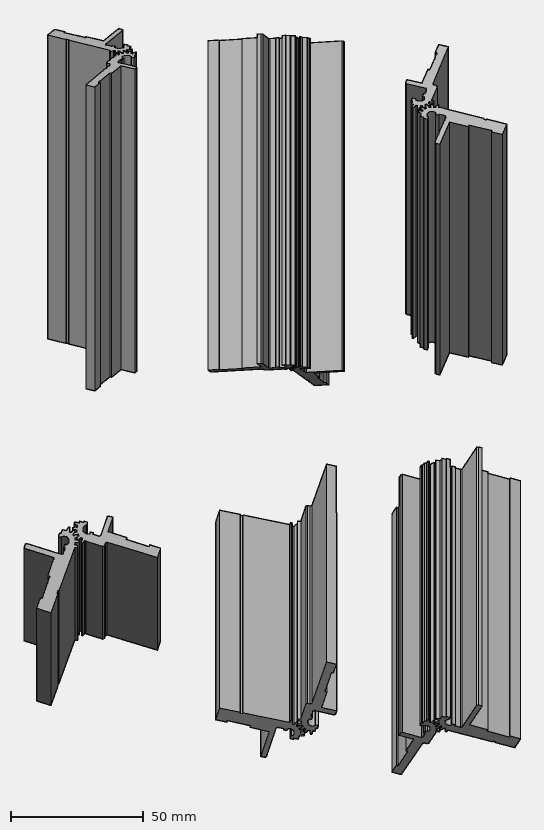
import cadquery as cq

LENGTH = 127.0
LEAF_TILT = 45.0

TEETH_PER_TURN = 15
TEETH_PER_LEAF = 5
TOOTH_PITCH_ANGLE = 360.0 / TEETH_PER_TURN
PITCH_RADIUS = 5.0
TIP_RADIUS = 5.75
ROOT_RADIUS = 4.15
TOOTH_TIP_WIDTH = 0.4
TOOTH_PITCH_WIDTH = 0.92
TOOTH_ROOT_WIDTH = 1.1
TOOTH_EMBED = 0.3

LEFT_TOOTH_ANGLE = -5.0
RIGHT_TOOTH_ANGLE = LEFT_TOOTH_ANGLE + TOOTH_PITCH_ANGLE / 2

BORE_RADIUS = 1.8
JAW_BACK_U = -4.0
JAW_TOP_V = 2.07
LIP_BACK_U = -2.4
LIP_FRONT_U = -0.95
LIP_TOP_V = 2.62
LIP_HOOK_U = -1.3
LIP_HOOK_V = 1.35

ARM_TOP_V = -1.2
ARM_BOTTOM_V = -4.65
ARM_HEEL_U = 0.85
ARM_HEEL_RUN = 0.45
HEEL_ROOT_V = -4.5
RIDGE_TOP_V = -0.65
RIDGE_START_U = 1.15
RIDGE_END_U = 2.5
RIDGE_EMBED = 0.3

RIB_INNER_U = 5.35
RIB_OUTER_U = 7.45
LEFT_RIB_TOP_V = 13.53
RIGHT_RIB_TOP_V = 7.45
RIB_CHAMFER = 0.5

PLATE_END_U = 28.33
PLATE_TOP_V = 1.55
POCKET_START_U = 14.9
POCKET_END_U = 24.0
POCKET_FLOOR_V = 0.8

LEFT_END_V = -4.1

GROOVE_CENTRE_U = 19.8
GROOVE_WIDTH = 1.0
GROOVE_DEPTH = 0.4

STEP_U = 7.9
STEP_V = -2.56
STEP_CHAMFER = 0.5
RIGHT_END_V = -2.3


def prism(points):
    return cq.Workplane("XY").polyline(points).close().extrude(LENGTH)


def cylinder(radius):
    return cq.Workplane("XY").circle(radius).extrude(LENGTH)


def block(u_start, u_end, v_start, v_end):
    return prism([(u_start, v_start), (u_end, v_start), (u_end, v_end), (u_start, v_end)])


def arm_and_plate(rib_top_v, inner_face):
    """Everything beyond the gear centre; inner_face runs from the arm to the plate end."""
    outer_face = [
        (PLATE_END_U, PLATE_TOP_V),
        (POCKET_END_U, PLATE_TOP_V),
        (POCKET_END_U, POCKET_FLOOR_V),
        (POCKET_START_U, POCKET_FLOOR_V),
        (POCKET_START_U, PLATE_TOP_V),
        (RIB_OUTER_U, PLATE_TOP_V),
        (RIB_OUTER_U, rib_top_v),
        (RIB_INNER_U + RIB_CHAMFER, rib_top_v),
        (RIB_INNER_U, rib_top_v - RIB_CHAMFER),
        (RIB_INNER_U, ARM_TOP_V + RIB_CHAMFER),
        (RIB_INNER_U - RIB_CHAMFER, ARM_TOP_V),
        (RIDGE_END_U, ARM_TOP_V),
        (RIDGE_END_U, RIDGE_TOP_V),
        (0, RIDGE_TOP_V),
        (0, HEEL_ROOT_V),
        (ARM_HEEL_U - ARM_HEEL_RUN, HEEL_ROOT_V),
        (ARM_HEEL_U, ARM_BOTTOM_V),
    ]
    return prism(inner_face + outer_face)


def tooth(angle):
    """A tooth with convex flanks, centred on the given direction from the gear centre."""
    inside = ROOT_RADIUS - TOOTH_EMBED
    half_root = TOOTH_ROOT_WIDTH / 2
    half_pitch = TOOTH_PITCH_WIDTH / 2
    half_tip = TOOTH_TIP_WIDTH / 2
    profile = (
        cq.Workplane("XY")
        .moveTo(inside, -half_root)
        .lineTo(ROOT_RADIUS, -half_root)
        .threePointArc((PITCH_RADIUS, -half_pitch), (TIP_RADIUS, -half_tip))
        .lineTo(TIP_RADIUS, half_tip)
        .threePointArc((PITCH_RADIUS, half_pitch), (ROOT_RADIUS, half_root))
        .lineTo(inside, half_root)
        .close()
    )
    return profile.extrude(LENGTH).rotate((0, 0, 0), (0, 0, 1), angle)


def leaf(rib_top_v, inner_face, middle_tooth_angle):
    """A leaf placed with its gear centre on the X axis, to the right of the mesh line."""
    body = cylinder(ROOT_RADIUS).intersect(block(-ROOT_RADIUS, 0, -ROOT_RADIUS, JAW_TOP_V))
    body = body.union(block(JAW_BACK_U, LIP_FRONT_U, 0, JAW_TOP_V))
    body = body.union(block(LIP_BACK_U, LIP_FRONT_U, 0, LIP_TOP_V))
    body = body.union(arm_and_plate(rib_top_v, inner_face))

    toward_mesh = 180.0 + LEAF_TILT
    for index in range(TEETH_PER_LEAF):
        step = index - TEETH_PER_LEAF // 2
        height_angle = middle_tooth_angle + step * TOOTH_PITCH_ANGLE
        body = body.union(tooth(toward_mesh - height_angle))

    channel_mouth = block(LIP_FRONT_U, BORE_RADIUS, RIDGE_TOP_V, LIP_TOP_V)
    body = body.cut(channel_mouth).cut(cylinder(BORE_RADIUS))
    body = body.union(block(LIP_HOOK_U, LIP_FRONT_U, LIP_HOOK_V, JAW_TOP_V))
    body = body.union(block(RIDGE_START_U, RIDGE_END_U, ARM_TOP_V - RIDGE_EMBED, RIDGE_TOP_V))

    body = body.rotate((0, 0, 0), (0, 0, 1), -LEAF_TILT)
    return body.translate((PITCH_RADIUS, 0, 0))


def left_leaf():
    slope = (LEFT_END_V - ARM_BOTTOM_V) / PLATE_END_U
    groove_start = GROOVE_CENTRE_U - GROOVE_WIDTH / 2
    groove_end = GROOVE_CENTRE_U + GROOVE_WIDTH / 2
    groove_floor = ARM_BOTTOM_V + slope * GROOVE_CENTRE_U + GROOVE_DEPTH
    inner_face = [
        (groove_start, ARM_BOTTOM_V + slope * groove_start),
        (groove_start, groove_floor),
        (groove_end, groove_floor),
        (groove_end, ARM_BOTTOM_V + slope * groove_end),
        (PLATE_END_U, LEFT_END_V),
    ]
    return leaf(LEFT_RIB_TOP_V, inner_face, LEFT_TOOTH_ANGLE).mirror("YZ")


def right_leaf():
    inner_face = [
        (STEP_U - STEP_CHAMFER, ARM_BOTTOM_V),
        (STEP_U, ARM_BOTTOM_V + STEP_CHAMFER),
        (STEP_U, STEP_V - STEP_CHAMFER),
        (STEP_U + STEP_CHAMFER, STEP_V),
        (PLATE_END_U, RIGHT_END_V),
    ]
    return leaf(RIGHT_RIB_TOP_V, inner_face, RIGHT_TOOTH_ANGLE)


left = left_leaf()
right = right_leaf()
result = cq.Compound.makeCompound([left.val(), right.val()])